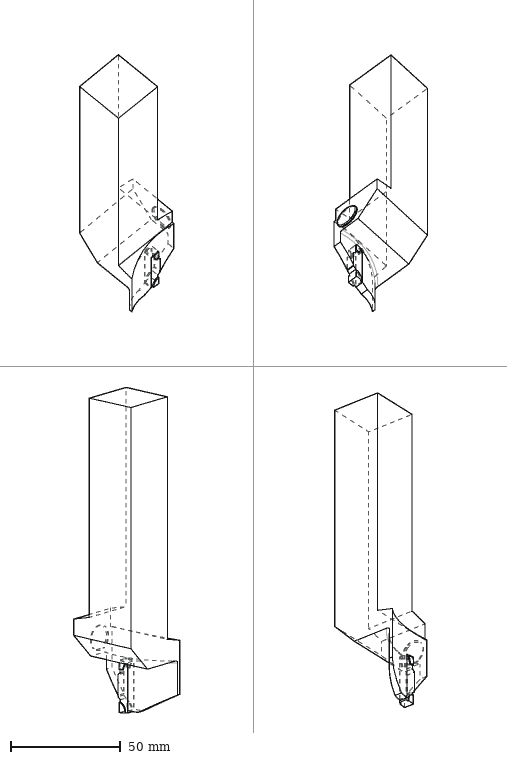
import cadquery as cq
import math

TOTAL_LENGTH = 152.4

SHANK = 25.1
HEAD_RIGHT = 33.7
HEAD_BACK = 34.6
HEAD_BOTTOM = 26.8
SIDE_LEAN = 0.3
CORNER_CUT_WIDTH = 11.5
CORNER_CUT_HEIGHT = 11.9
RIGHT_TOP_INNER = 38.1
RIGHT_TOP_OUTER = 36.0
BACK_TOP_INNER = 49.0
BACK_TOP_OUTER = 46.6

CURVE_CENTER_Y = 25.9
BLADE_LEFT = 21.2
BLADE_RIGHT = 25.3
BLADE_LEFT_FRONT = 32.2
BLADE_FILLET = 1.2
BLADE_FRONT_Z = 10.5
BLADE_TIP_Z = 1.4
BLADE_TIP_Y = 15.7
BLADE_BACK_Z = 18.6

BOSS_DIAMETER = 11.9
BOSS_X = 17.8
BOSS_Z = 34.1
BOSS_HEIGHT = 0.9
BOSS_CHAMFER = 0.5

INSERT_FRONT = 20.7
INSERT_RAKE = 25.3
INSERT_RIDGE = 26.7
INSERT_LENGTH = 24.7
INSERT_RELIEF = 0.5
RAKE_LENGTH = 6.0
RIDGE_START = 7.2
INSERT_RIGHT = 25.1
EDGE_OVERHANG = 0.6
EDGE_FRONT = 22.0
LOWER_EDGE_HEIGHT = 4.9
UPPER_EDGE_HEIGHT = 4.3
UPPER_EDGE_TOE = 23.3


def arc_radius(sagitta):
    """Radius of an arc that departs by sagitta between its center line and Y = 0."""
    return (CURVE_CENTER_Y**2 + sagitta**2) / (2 * sagitta)


RIGHT_RADIUS = arc_radius(HEAD_RIGHT - BLADE_RIGHT)
LEFT_RADIUS = arc_radius(BLADE_LEFT_FRONT - BLADE_LEFT)


def arc_x(side_x, radius, y):
    """X position of a curved blade face at depth y."""
    return side_x + radius - math.sqrt(radius**2 - (y - CURVE_CENTER_Y) ** 2)


RIGHT_BACK_CORNER = (arc_x(BLADE_RIGHT, RIGHT_RADIUS, HEAD_BACK), HEAD_BACK)


def side_prism(points, x_start, x_end):
    """Extrude a (Y, Z) outline along X."""
    return cq.Workplane("YZ", origin=(x_start, 0, 0)).polyline(points).close().extrude(x_end - x_start)


def make_shank_and_head():
    cut_slope = CORNER_CUT_HEIGHT / CORNER_CUT_WIDTH
    front_outline = [
        (-SIDE_LEAN, TOTAL_LENGTH),
        (SHANK, TOTAL_LENGTH),
        (SHANK, RIGHT_TOP_INNER),
        (HEAD_RIGHT, RIGHT_TOP_OUTER),
        (HEAD_RIGHT, HEAD_BOTTOM),
        (CORNER_CUT_WIDTH, HEAD_BOTTOM),
        (-SIDE_LEAN, HEAD_BOTTOM + CORNER_CUT_HEIGHT + SIDE_LEAN * cut_slope),
    ]
    bar = cq.Workplane("XZ").polyline(front_outline).close().extrude(-HEAD_BACK)
    side_outline = [
        (0, TOTAL_LENGTH),
        (SHANK, TOTAL_LENGTH),
        (SHANK, BACK_TOP_INNER),
        (HEAD_BACK, BACK_TOP_OUTER),
        (HEAD_BACK, HEAD_BOTTOM),
        (0, HEAD_BOTTOM),
    ]
    plan = (
        cq.Workplane("XY")
        .moveTo(0, 0)
        .lineTo(HEAD_RIGHT, 0)
        .threePointArc((BLADE_RIGHT, CURVE_CENTER_Y), RIGHT_BACK_CORNER)
        .lineTo(-SIDE_LEAN, HEAD_BACK)
        .close()
        .extrude(TOTAL_LENGTH)
    )
    return bar.intersect(side_prism(side_outline, -SIDE_LEAN, HEAD_RIGHT)).intersect(plan)


def make_blade():
    plan = (
        cq.Workplane("XY")
        .moveTo(BLADE_LEFT_FRONT, 0)
        .lineTo(HEAD_RIGHT, 0)
        .threePointArc((BLADE_RIGHT, CURVE_CENTER_Y), RIGHT_BACK_CORNER)
        .lineTo(arc_x(BLADE_LEFT, LEFT_RADIUS, HEAD_BACK), HEAD_BACK)
        .threePointArc((BLADE_LEFT, CURVE_CENTER_Y), (BLADE_LEFT_FRONT, 0))
        .close()
        .extrude(HEAD_BOTTOM)
    )
    outline = [
        (0, HEAD_BOTTOM),
        (0, BLADE_FRONT_Z),
        (BLADE_TIP_Y, BLADE_TIP_Z),
        (INSERT_FRONT, BLADE_TIP_Z),
        (INSERT_RAKE, RAKE_LENGTH),
        (HEAD_BACK, BLADE_BACK_Z),
        (HEAD_BACK, HEAD_BOTTOM),
    ]
    return plan.intersect(side_prism(outline, 0, HEAD_RIGHT))


def make_boss():
    return (
        cq.Workplane("XZ", origin=(BOSS_X, HEAD_BACK, BOSS_Z))
        .circle(BOSS_DIAMETER / 2)
        .extrude(-BOSS_HEIGHT)
        .faces(">Y")
        .chamfer(BOSS_CHAMFER)
    )


def insert_profile(x_start, x_end):
    outline = [
        (INSERT_FRONT, INSERT_RELIEF),
        (INSERT_RAKE, 0),
        (INSERT_RAKE, RAKE_LENGTH),
        (INSERT_RIDGE, RIDGE_START),
        (INSERT_RIDGE, INSERT_LENGTH - RIDGE_START),
        (INSERT_RAKE, INSERT_LENGTH - RAKE_LENGTH),
        (INSERT_RAKE, INSERT_LENGTH),
        (INSERT_FRONT, INSERT_LENGTH - INSERT_RELIEF),
    ]
    return side_prism(outline, x_start, x_end)


def make_holder():
    margin = 1.5
    joint = cq.selectors.BoxSelector(
        (BLADE_LEFT - margin, -margin, HEAD_BOTTOM - margin / 2),
        (BLADE_LEFT_FRONT, HEAD_BACK + margin, HEAD_BOTTOM + margin / 2),
    )
    holder = make_shank_and_head().union(make_blade())
    holder = holder.edges(joint).edges("%CIRCLE").fillet(BLADE_FILLET)
    return holder.union(make_boss()).cut(insert_profile(0, HEAD_RIGHT))


def make_insert():
    left = BLADE_LEFT - EDGE_OVERHANG
    right = INSERT_RIGHT + EDGE_OVERHANG
    corner_drop = INSERT_RELIEF * (INSERT_RAKE - EDGE_FRONT) / (INSERT_RAKE - INSERT_FRONT)
    arc_bow = 1 / math.sqrt(2)
    lower_edge = (
        cq.Workplane("YZ", origin=(left, 0, 0))
        .moveTo(INSERT_RAKE, 0)
        .lineTo(INSERT_RAKE, LOWER_EDGE_HEIGHT)
        .threePointArc(
            (
                INSERT_RAKE - (INSERT_RAKE - EDGE_FRONT) * arc_bow,
                corner_drop + (LOWER_EDGE_HEIGHT - corner_drop) * arc_bow,
            ),
            (EDGE_FRONT, corner_drop),
        )
        .close()
        .extrude(right - left)
    )
    upper_outline = [
        (INSERT_RAKE, INSERT_LENGTH),
        (INSERT_RAKE, INSERT_LENGTH - UPPER_EDGE_HEIGHT),
        (UPPER_EDGE_TOE, INSERT_LENGTH - UPPER_EDGE_HEIGHT),
        (EDGE_FRONT, INSERT_LENGTH - corner_drop),
    ]
    upper_edge = side_prism(upper_outline, left, right)
    return insert_profile(BLADE_LEFT, INSERT_RIGHT).union(lower_edge).union(upper_edge)


holder = make_holder()
cutting_insert = make_insert()
result = cq.Compound.makeCompound([holder.val(), cutting_insert.val()])